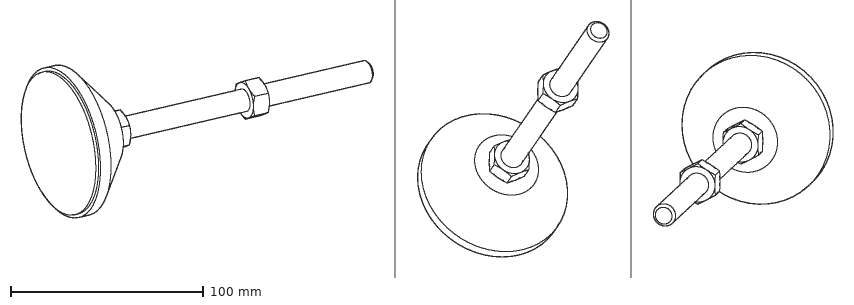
import cadquery as cq
import math

total_length = 188.0

foot_diameter = 80.0
sole_diameter = 76.3
neck_diameter = 35.0
sole_height = 1.7
rim_top = 8.0
foot_top = 29.0

rod_diameter = 12.0
tip_chamfer = 1.5

across_flats = 19.0
across_corners = across_flats / math.cos(math.radians(30))
base_hex_height = 9.2
lock_nut_start = 112.5
lock_nut_height = 9.8
hex_face_diameter = across_flats
hex_chamfer_length = 0.8


def revolve_about_y(profile):
    """Turn an outline of (radius, Y) points into a solid of revolution."""
    return cq.Workplane("XY").polyline(profile).close().revolve(360, (0, 0), (0, 1))


def make_foot():
    return revolve_about_y([
        (0, 0),
        (sole_diameter / 2, 0),
        (sole_diameter / 2, sole_height),
        (foot_diameter / 2, sole_height),
        (foot_diameter / 2, rim_top),
        (neck_diameter / 2, foot_top),
        (0, foot_top),
    ])


def make_rod():
    radius = rod_diameter / 2
    return revolve_about_y([
        (0, foot_top),
        (radius, foot_top),
        (radius, total_length - tip_chamfer),
        (radius - tip_chamfer, total_length),
        (0, total_length),
    ])


def make_hexagon(start, height):
    """Hexagonal prism with two flats facing X and its corners chamfered at both ends."""
    end = start + height
    prism = (
        cq.Workplane("XZ", origin=(0, start, 0))
        .polygon(6, across_corners)
        .extrude(-height)
        .rotate((0, 0, 0), (0, 1, 0), 30)
    )
    envelope = revolve_about_y([
        (0, start),
        (hex_face_diameter / 2, start),
        (across_corners / 2, start + hex_chamfer_length),
        (across_corners / 2, end - hex_chamfer_length),
        (hex_face_diameter / 2, end),
        (0, end),
    ])
    return prism.intersect(envelope)


base_hex = make_hexagon(foot_top, base_hex_height)
lock_nut = make_hexagon(lock_nut_start, lock_nut_height)
result = make_foot().union(make_rod()).union(base_hex).union(lock_nut)